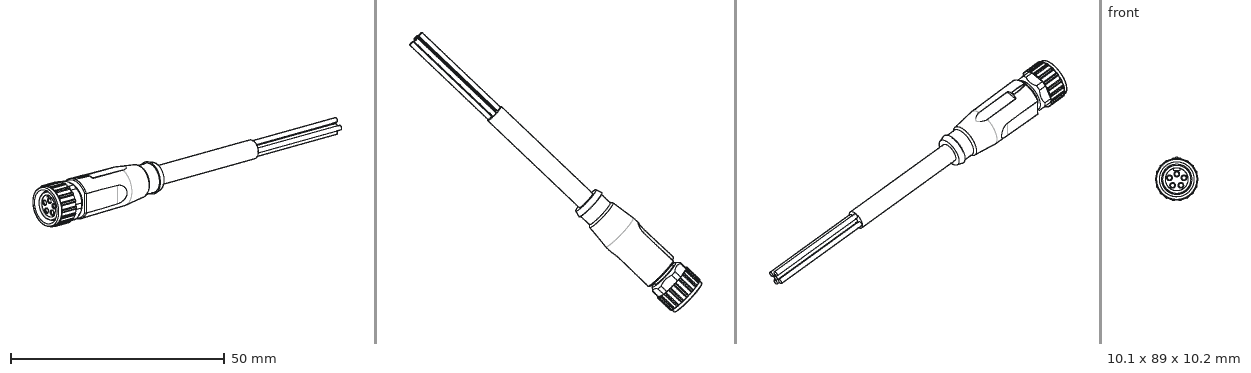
import cadquery as cq
import math


total_length = 89.0
wire_radius = 0.58
wire_spacing = 1.5
cable_radius = 2.3
cable_end_y = 63.3
embed = 0.9

body_front_y = 8.6
body_front_radius = 4.9
body_edge_chamfer = 0.3
widest_y = 22.4
widest_radius = 4.7
shoulder_y = 28.3
shoulder_radius = 4.0
neck_front_y = 28.8
neck_radius = 3.6
bead_front_y = 31.9
bead_radius = 3.9
body_back_y = 33.4
body_back_radius = 3.5

grip_half_width = 2.4
grip_plane = 4.2
grip_flat_end_y = 18.5
grip_runout_end_y = 21.1
grip_runout_rise = 0.6
label_half_width = 1.4
label_plane = 4.45
label_front_y = 13.35
label_ramp_length = 0.3
label_ramp_rise = 0.4

arrow_top = 5.25
arrow_back_top = 4.9
arrow_back_y = 12.9
arrow_shoulder_y = 11.2
arrow_tip_y = 8.9
arrow_half_width = 0.4
arrow_tip_half_width = 0.13

nut_back_y = 7.8
nut_chamfer_y = 7.0
nut_back_radius = 4.0
nut_radius = 4.7
hex_apothem = 4.4
hex_sides = 6
hex_turn = 180 / hex_sides
collar_radius = 3.1
knurl_front_y = 0.9
knurl_back_y = 5.2
knurl_base_radius = 4.9
knurl_rib_height = 0.13
knurl_radius = knurl_base_radius + knurl_rib_height
knurl_rib_count = 18
knurl_rib_top_width = 0.4
knurl_rib_base_width = 0.8

mouth_radius = 4.1
bore_radius = 3.6
bore_cone_y = 1.3
bore_floor_y = 3.6
sleeve_front_y = 0.5
sleeve_outer_radius = 3.3
sleeve_inner_radius = 2.7
insert_face_y = 1.1
contact_radius = 0.49
contact_mouth_radius = 0.67
contact_depth = 2.7
contact_spots = [(0, 1.25), (1.7, 0.4), (-1.7, 0.4), (1.0, -1.4), (-1.0, -1.4)]
key_half_width = 0.8
key_bottom_z = 2.05
key_depth = 1.8


def rod(radius, start_y, end_y, x=0, z=0):
    """Cylinder along Y between two stations."""
    base = cq.Vector(x, start_y, z)
    return cq.Workplane(obj=cq.Solid.makeCylinder(radius, end_y - start_y, base, cq.Vector(0, 1, 0)))


def box(x_range, y_range, z_range):
    """Axis-aligned block from its limits on each axis."""
    sizes = [high - low for low, high in (x_range, y_range, z_range)]
    corner = cq.Vector(x_range[0], y_range[0], z_range[0])
    return cq.Workplane(obj=cq.Solid.makeBox(*sizes, corner))


def turned(outline):
    """Solid of revolution about Y from an outline of (radius, y)."""
    return outline.close().revolve(360, (0, 0, 0), (0, 1, 0))


def make_cable():
    """Cable sheath with its five bare wires in a cross."""
    spots = [(0, 0), (wire_spacing, 0), (-wire_spacing, 0), (0, wire_spacing), (0, -wire_spacing)]
    wires = rod(cable_radius, body_back_y - embed, cable_end_y)
    for x, z in spots:
        wires = wires.union(rod(wire_radius, cable_end_y - embed, total_length, x, z))
    return wires


def make_body():
    """Tapered body with its rear neck and bead, before the flats are cut."""
    return turned(
        cq.Workplane("XY")
        .moveTo(0, body_front_y)
        .lineTo(body_front_radius - body_edge_chamfer, body_front_y)
        .lineTo(body_front_radius, body_front_y + body_edge_chamfer)
        .lineTo(widest_radius, widest_y)
        .lineTo(shoulder_radius, shoulder_y)
        .lineTo(neck_radius, neck_front_y)
        .lineTo(neck_radius, bead_front_y)
        .lineTo(bead_radius, bead_front_y)
        .lineTo(body_back_radius, body_back_y)
        .lineTo(0, body_back_y)
    )


def make_grip_cut(side):
    """Flat on one side of the body, chamfered at the front and ending in a concave runout."""
    outside = grip_plane + 2 * grip_runout_rise
    runout_x = grip_plane + grip_runout_rise
    return (
        cq.Workplane("XY")
        .workplane(offset=-grip_half_width)
        .moveTo(side * (grip_plane - body_edge_chamfer), body_front_y)
        .lineTo(side * grip_plane, body_front_y + body_edge_chamfer)
        .lineTo(side * grip_plane, grip_flat_end_y)
        .tangentArcPoint((side * runout_x, grip_runout_end_y), relative=False)
        .lineTo(side * outside, grip_runout_end_y)
        .lineTo(side * outside, body_front_y)
        .close()
        .extrude(2 * grip_half_width)
    )


def make_label_cut():
    """Flat on top of the body, ramping up to the surface at its front."""
    ramp_top = label_plane + label_ramp_rise
    return (
        cq.Workplane("YZ")
        .moveTo(neck_front_y, label_plane)
        .lineTo(label_front_y, label_plane)
        .lineTo(label_front_y - label_ramp_length, ramp_top)
        .lineTo(neck_front_y, ramp_top)
        .close()
        .extrude(label_half_width, both=True)
    )


def make_arrow():
    """Wedge-topped pointer narrowing towards the mating end."""
    plan = (
        cq.Workplane("XY")
        .workplane(offset=label_plane - embed)
        .polyline([
            (-arrow_half_width, arrow_back_y),
            (-arrow_half_width, arrow_shoulder_y),
            (-arrow_tip_half_width, arrow_tip_y),
            (arrow_tip_half_width, arrow_tip_y),
            (arrow_half_width, arrow_shoulder_y),
            (arrow_half_width, arrow_back_y),
        ])
        .close()
        .extrude(2 * embed)
    )
    side = (
        cq.Workplane("YZ")
        .polyline([
            (arrow_tip_y, label_plane - embed),
            (arrow_tip_y, arrow_top),
            (arrow_back_y, arrow_back_top),
            (arrow_back_y, label_plane - embed),
        ])
        .close()
        .extrude(arrow_half_width, both=True)
    )
    return plan.intersect(side)


def make_nut():
    """Solid coupling nut: rounded hexagon, ribbed grip ring, front lip and rear collar."""
    back_start_y = knurl_back_y - embed
    back = turned(
        cq.Workplane("XY")
        .moveTo(0, back_start_y)
        .lineTo(nut_radius, back_start_y)
        .lineTo(nut_radius, nut_chamfer_y)
        .lineTo(nut_back_radius, nut_back_y)
        .lineTo(0, nut_back_y)
    )
    hexagon = (
        cq.Workplane("XZ")
        .polygon(hex_sides, 2 * hex_apothem, circumscribed=True)
        .extrude(-nut_back_y)
        .rotate((0, 0, 0), (0, 1, 0), hex_turn)
    )
    knurl = rod(knurl_base_radius, knurl_front_y, knurl_back_y)
    half_base = knurl_rib_base_width / 2
    half_top = knurl_rib_top_width / 2
    root_x = math.sqrt(knurl_base_radius**2 - half_base**2)
    rib = (
        cq.Workplane("XZ", origin=(0, knurl_front_y, 0))
        .moveTo(0, -half_base)
        .lineTo(root_x, -half_base)
        .lineTo(knurl_radius, -half_top)
        .lineTo(knurl_radius, half_top)
        .lineTo(root_x, half_base)
        .lineTo(0, half_base)
        .close()
        .extrude(knurl_front_y - knurl_back_y)
    )
    for index in range(knurl_rib_count):
        knurl = knurl.union(rib.rotate((0, 0, 0), (0, 1, 0), index * 360 / knurl_rib_count))
    lip = rod(nut_radius, 0, knurl_front_y + embed)
    collar = rod(collar_radius, nut_back_y - embed, body_front_y + embed)
    return back.intersect(hexagon).union(lip).union(knurl).union(collar)


def make_bore():
    """Open mouth of the nut, narrowing to a straight bore."""
    return turned(
        cq.Workplane("XY")
        .moveTo(0, 0)
        .lineTo(mouth_radius, 0)
        .lineTo(bore_radius, bore_cone_y)
        .lineTo(bore_radius, bore_floor_y)
        .lineTo(0, bore_floor_y)
    )


def make_socket():
    """Contact hole with a countersunk entry."""
    return turned(
        cq.Workplane("XY")
        .moveTo(0, insert_face_y)
        .lineTo(contact_mouth_radius, insert_face_y)
        .lineTo(contact_radius, insert_face_y + contact_mouth_radius - contact_radius)
        .lineTo(contact_radius, insert_face_y + contact_depth)
        .lineTo(0, insert_face_y + contact_depth)
    )


def make_insert():
    """Round-lipped sleeve around the contact carrier with its sockets and keyway."""
    lip_radius = (sleeve_outer_radius - sleeve_inner_radius) / 2
    lip_y = sleeve_front_y + lip_radius
    insert = turned(
        cq.Workplane("XY")
        .moveTo(0, bore_floor_y + embed)
        .lineTo(0, insert_face_y)
        .lineTo(sleeve_inner_radius, insert_face_y)
        .lineTo(sleeve_inner_radius, lip_y)
        .threePointArc((sleeve_inner_radius + lip_radius, sleeve_front_y), (sleeve_outer_radius, lip_y))
        .lineTo(sleeve_outer_radius, bore_floor_y + embed)
    )
    for x, z in contact_spots:
        insert = insert.cut(make_socket().translate((x, 0, z)))
    keyway = box(
        (-key_half_width, key_half_width),
        (insert_face_y, insert_face_y + key_depth),
        (key_bottom_z, sleeve_inner_radius),
    )
    return insert.cut(keyway)


body = make_body().cut(make_label_cut())
for side in (-1, 1):
    body = body.cut(make_grip_cut(side))
nut = make_nut().cut(make_bore()).union(make_insert())
result = body.union(make_arrow()).union(make_cable()).union(nut)